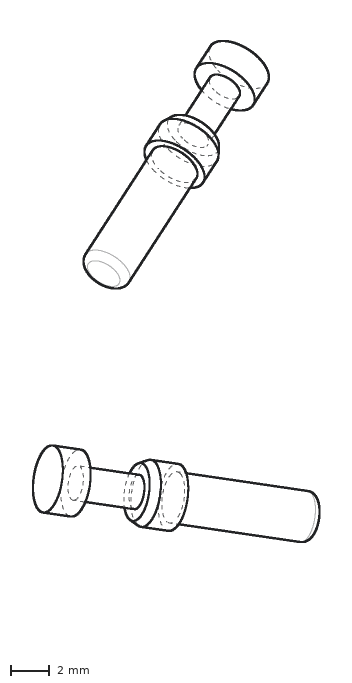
import cadquery as cq

total_length = 15.1
head_length = 1.6
neck_length = 3.5
collar_length = 2.1
shaft_length = total_length - head_length - neck_length - collar_length

head_diameter = 3.5
collar_diameter = head_diameter
neck_diameter = 1.8
shaft_diameter = 2.67

tip_fillet = 0.4
collar_bevel_length = 0.53
collar_bevel_depth = 0.24


def cylinder(start, length, diameter):
    """Solid cylinder along +Y, beginning at Y = start."""
    return (
        cq.Workplane("XZ", origin=(0, start, 0))
        .circle(diameter / 2)
        .extrude(-length)
    )


shaft = cylinder(0, shaft_length, shaft_diameter).faces("<Y").edges().fillet(tip_fillet)

collar_start = shaft_length
collar = (
    cylinder(collar_start, collar_length, collar_diameter)
    .faces(">Y")
    .chamfer(collar_bevel_length, collar_bevel_depth)
)

neck_start = collar_start + collar_length
neck = cylinder(neck_start, neck_length, neck_diameter)
head = cylinder(neck_start + neck_length, head_length, head_diameter)

result = shaft.union(collar).union(neck).union(head)